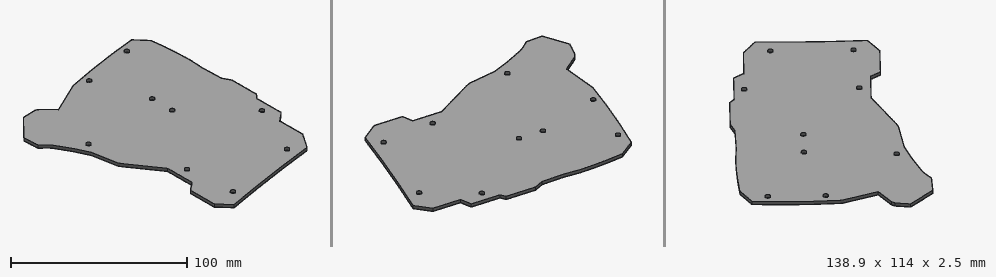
import cadquery as cq

length = 138.9
width = 114.0
thickness = 2.5
hole_diameter = 3.0

upper_shoulder_y = 111.4
right_lobe_top_y = 105.4
right_lobe_bottom_y = 27.8
lower_shoulder_y = 33.5
shoulder_end_x = 108.5

right_corner_top = (length, 98.5)
right_corner_bottom = (length, 34.7)
right_edge_middle = (length - 0.5, 66.7)

left_corner_top = (3.9, 102.9)
left_corner_bottom = (3.9, 51.8)
left_edge_middle = (3.2, 77.1)

crown_start = (12.6, 109.6)
crown_middle = (26.4, 111.0)
crown_end = (40.3, 111.5)

left_hole_x = 8.0
inner_hole_x = 99.0
outer_hole_x = 131.1
center_hole_y = 72.6
hole_centers = [
    (left_hole_x, 93.9),
    (left_hole_x, 61.0),
    (45.1, center_hole_y),
    (60.1, center_hole_y),
    (inner_hole_x, 105.5),
    (inner_hole_x, 40.1),
    (outer_hole_x, 90.0),
    (outer_hole_x, 42.8),
    (42.6, 20.0),
]


def make_plate():
    """Extrude the outline, drawn counterclockwise from the lowest point."""
    outline = (
        cq.Workplane("XY")
        .moveTo(11.4, 0)
        .lineTo(21.7, 0.5)
        .lineTo(25.0, 3.7)
        .lineTo(27.5, 5.7)
        .lineTo(38.6, 11.4)
        .lineTo(48.5, 15.5)
        .lineTo(65.5, 18.5)
        .lineTo(68.0, 19.7)
        .lineTo(90.3, lower_shoulder_y)
        .lineTo(shoulder_end_x, lower_shoulder_y)
        .lineTo(112.1, right_lobe_bottom_y)
        .lineTo(130.0, right_lobe_bottom_y)
        .lineTo(*right_corner_bottom)
        .threePointArc(right_edge_middle, right_corner_top)
        .lineTo(129.7, right_lobe_top_y)
        .lineTo(112.4, right_lobe_top_y)
        .lineTo(shoulder_end_x, upper_shoulder_y)
        .lineTo(90.4, upper_shoulder_y)
        .lineTo(87.8, width)
        .lineTo(69.3, width)
        .lineTo(63.9, upper_shoulder_y)
        .lineTo(50.0, 111.0)
        .lineTo(*crown_end)
        .threePointArc(crown_middle, crown_start)
        .lineTo(*left_corner_top)
        .threePointArc(left_edge_middle, left_corner_bottom)
        .lineTo(10.7, 31.1)
        .lineTo(2.1, 23.7)
        .lineTo(1.0, 21.7)
        .lineTo(0, 12.9)
        .close()
    )
    return outline.extrude(thickness)


def make_hole_cutters():
    """Cylinders through the full thickness at every hole center."""
    return cq.Workplane("XY").pushPoints(hole_centers).circle(hole_diameter / 2).extrude(thickness)


result = make_plate().cut(make_hole_cutters())